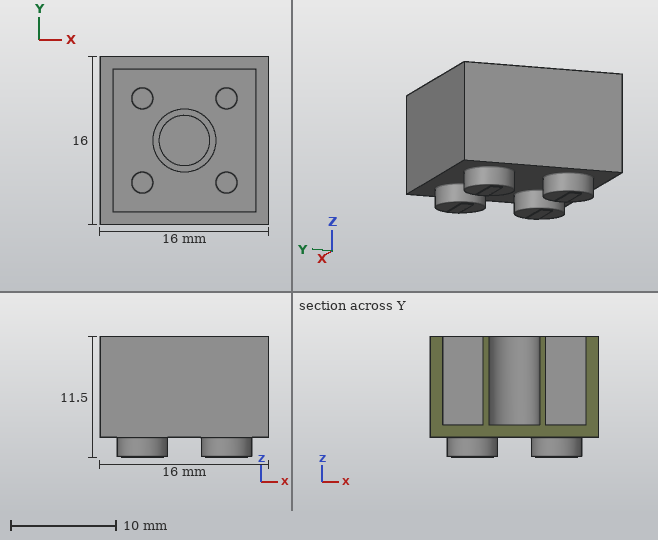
import cadquery as cq

side = 16.0
body_height = 9.6
wall = 1.2
floor_thickness = 1.2

stud_pitch = side / 2
stud_diameter = 4.8
stud_height = 1.8
stud_hole_diameter = 2.0
stud_hole_end_wall = wall

pad_length = 4.0
pad_width = 1.2
pad_height = 0.1

tube_outer_diameter = 6.0
tube_inner_diameter = 4.8

edge_radius = 0.05

stud_end = -stud_height
stud_hole_bottom = stud_end + stud_hole_end_wall
stud_hole_depth = floor_thickness - stud_hole_bottom


def at_studs(z):
    """Workplane at height z with a point on each stud axis."""
    return cq.Workplane("XY", origin=(0, 0, z)).rarray(stud_pitch, stud_pitch, 2, 2)


def make_shell():
    """Square block with an open cavity whose floor corners are rounded."""
    block = cq.Workplane("XY").rect(side, side).extrude(body_height)
    cavity_side = side - 2 * wall
    cavity = (
        cq.Workplane("XY", origin=(0, 0, floor_thickness))
        .rect(cavity_side, cavity_side)
        .extrude(body_height - floor_thickness)
        .faces("<Z")
        .edges()
        .fillet(edge_radius)
    )
    return block.cut(cavity)


def make_tube():
    """Tube standing on the cavity floor, level with the rim."""
    return (
        cq.Workplane("XY", origin=(0, 0, floor_thickness))
        .circle(tube_outer_diameter / 2)
        .circle(tube_inner_diameter / 2)
        .extrude(body_height - floor_thickness)
    )


def fillet_rings(body, z, diameter):
    """Round the four circular edges of the given diameter on the stud axes at height z."""
    reach = diameter / 2 + edge_radius
    axis_positions = (-stud_pitch / 2, stud_pitch / 2)
    for x in axis_positions:
        for y in axis_positions:
            ring_box = cq.selectors.BoxSelector(
                (x - reach, y - reach, z - edge_radius),
                (x + reach, y + reach, z + edge_radius),
                boundingbox=True,
            )
            body = body.edges(ring_box).fillet(edge_radius)
    return body


def add_studs(body):
    studs = at_studs(stud_end).circle(stud_diameter / 2).extrude(stud_height)
    body = fillet_rings(body.union(studs), 0, stud_diameter)
    return fillet_rings(body, stud_end, stud_diameter)


def cut_stud_holes(body):
    """Cut blind holes from the cavity floor down into the studs."""
    holes = at_studs(floor_thickness).circle(stud_hole_diameter / 2).extrude(-stud_hole_depth)
    body = fillet_rings(body.cut(holes), floor_thickness, stud_hole_diameter)
    return fillet_rings(body, stud_hole_bottom, stud_hole_diameter)


def make_stud_pads():
    return at_studs(stud_end).rect(pad_length, pad_width).extrude(-pad_height)


studded_shell = cut_stud_holes(add_studs(make_shell()))
result = studded_shell.union(make_tube()).union(make_stud_pads())